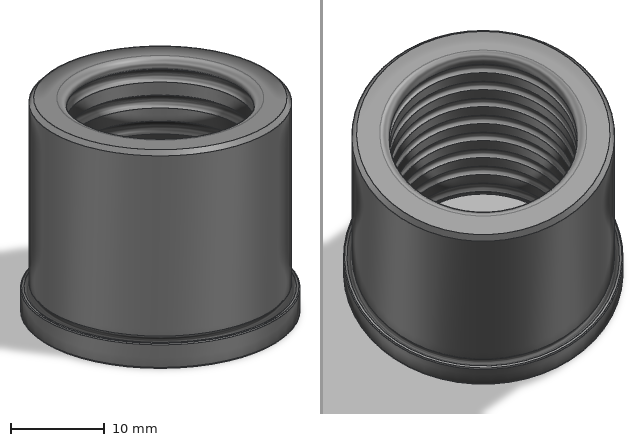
import cadquery as cq

height = 25.0
flange_radius = 14.9
body_radius = 14.0
bore_radius = 10.0

flange_height = 2.95
flange_bottom_chamfer = 0.2
flange_top_chamfer = 0.12

relief_reach = 0.5
relief_inset = 0.1

body_chamfer = 0.5
bore_rounding = 1.0

groove_count = 8
groove_radius = 0.75
end_land = 0.15
first_groove_z = bore_rounding + end_land + groove_radius
groove_pitch = (height - 2 * first_groove_z) / (groove_count - 1)


def make_shell():
    """Revolve the flanged sleeve, with both bore mouths rounded."""
    slot_bottom_radius = body_radius - relief_inset
    slot_bottom_z = flange_height - relief_inset
    half_reach = relief_reach / 2
    mouth_radius = bore_radius + bore_rounding
    profile = (
        cq.Workplane("XZ")
        .moveTo(mouth_radius, 0)
        .lineTo(flange_radius - flange_bottom_chamfer, 0)
        .lineTo(flange_radius, flange_bottom_chamfer)
        .lineTo(flange_radius, flange_height - flange_top_chamfer)
        .lineTo(flange_radius - flange_top_chamfer, flange_height)
        .lineTo(body_radius + relief_reach, flange_height)
        .lineTo(slot_bottom_radius + half_reach, slot_bottom_z - half_reach)
        .threePointArc(
            (slot_bottom_radius - half_reach, slot_bottom_z - half_reach),
            (slot_bottom_radius - half_reach, slot_bottom_z + half_reach),
        )
        .lineTo(body_radius, flange_height + relief_reach)
        .lineTo(body_radius, height - body_chamfer)
        .lineTo(body_radius - body_chamfer, height)
        .lineTo(mouth_radius, height)
        .radiusArc((bore_radius, height - bore_rounding), -bore_rounding)
        .lineTo(bore_radius, bore_rounding)
        .radiusArc((mouth_radius, 0), -bore_rounding)
        .close()
    )
    return profile.revolve(360, (0, 0, 0), (0, 1, 0))


def make_groove_ring(z):
    """Torus centred on the bore wall; its outer half cuts one groove."""
    ring = cq.Solid.makeTorus(bore_radius, groove_radius)
    return ring.translate(cq.Vector(0, 0, z))


result = make_shell()
for index in range(groove_count):
    groove_z = first_groove_z + index * groove_pitch
    result = result.cut(cq.Workplane(make_groove_ring(groove_z)))